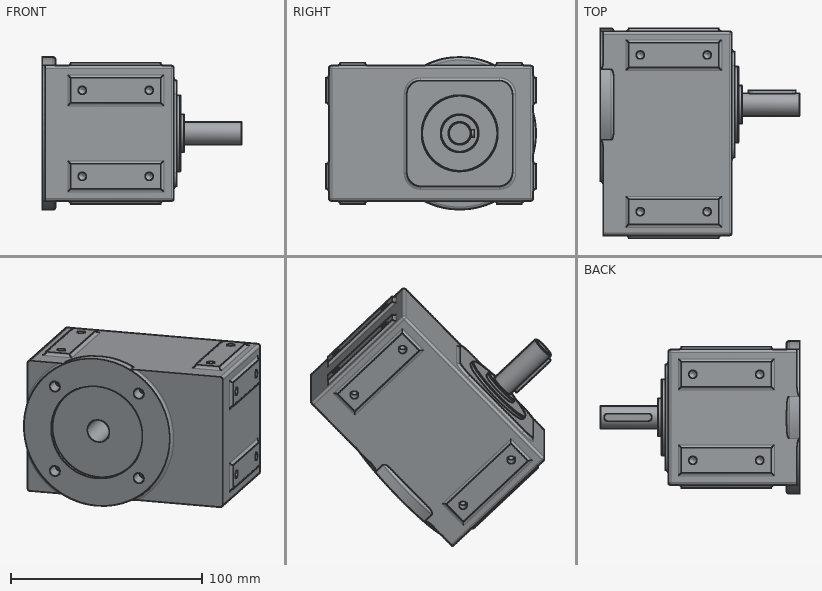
import cadquery as cq
import math


overall_x = 104.5
overall_y = 110
flange_diameter = 80.0
flange_radius = flange_diameter / 2

edge_radius = 1.5
pad_height = 1.5
body_start = 1.5
body_end = 69.0
body_length = body_end - body_start
body_width = overall_y - 2 * pad_height
body_height = 71.0
body_x = (body_start + body_end) / 2
body_y = flange_radius - overall_y / 2

flange_thickness = 7.0
register_diameter = 50.0
register_depth = 2.8
bore_diameter = 12.0
bore_depth = 30.0
bolt_circle = 65.0
bolt_diameter = 5.5
bolt_depth = 10.0

pad_length = 47.0
pad_width = 13.0
pad_x = 38.5
pad_pitch_y = 82.0
pad_pitch_z = 45.0
pad_hole_pitch = 35.0
pad_hole_diameter = 4.2
pad_hole_depth = 10.0
drill_point_angle = 118

boss_size = 55.2
boss_height = 1.5
boss_corner_radius = 7.0
cover_diameter = 40.0
collar_diameter = 20.0
step_height = 2.0
shaft_diameter = 12.0
rim_chamfer = 0.4

key_start = 77.4
key_length = 25.0
key_width = 4.0
key_height = 1.5


def x_cylinder(diameter, start, end):
    """Cylinder on the X axis between two X positions."""
    return cq.Workplane("YZ", origin=(start, 0, 0)).circle(diameter / 2).extrude(end - start)


def make_body():
    """Box with rounded edges, except around its flange-side face, with the square output boss."""
    body = (
        cq.Workplane("XY")
        .box(body_length, body_width, body_height)
        .translate((body_x, body_y, 0))
        .edges("|X or >X")
        .fillet(edge_radius)
    )
    rough_height = 3 * boss_height
    boss = (
        cq.Workplane("YZ", origin=(body_end, 0, 0))
        .rect(boss_size, boss_size)
        .extrude(rough_height)
        .edges("|X")
        .fillet(boss_corner_radius)
    )
    margin = boss_height / 2
    reach = boss_size / 2 + margin
    foot_edges = cq.selectors.BoxSelector(
        (body_end - margin, -reach, -reach),
        (body_end + margin, reach, reach),
        boundingbox=True,
    )
    trim = x_cylinder(2 * boss_size, body_end + boss_height, body_end + rough_height)
    return body.union(boss).edges(foot_edges).fillet(boss_height).cut(trim)


def make_flange():
    """Round flange with a rounded rear rim and a hollow fillet running onto the body face."""
    flange = x_cylinder(flange_diameter, 0, flange_thickness).edges(">X").fillet(edge_radius)
    arc_offset = body_start * (1 - math.sqrt(0.5))
    foot = (
        cq.Workplane("XY")
        .moveTo(0, 0)
        .lineTo(0, flange_radius)
        .threePointArc(
            (body_start - arc_offset, flange_radius + arc_offset),
            (body_start, flange_radius + body_start),
        )
        .lineTo(body_start, 0)
        .close()
        .revolve(360, (0, 0, 0), (1, 0, 0))
    )
    body_outline = (
        cq.Workplane("YZ")
        .center(body_y, 0)
        .rect(body_width, body_height)
        .extrude(body_start)
        .edges("|X")
        .fillet(edge_radius)
    )
    return flange.union(foot.intersect(body_outline))


def cut_flange(part):
    """Register recess, input bore and bolt holes."""
    part = part.cut(x_cylinder(register_diameter, 0, register_depth))
    part = part.cut(x_cylinder(bore_diameter, 0, register_depth + bore_depth))
    bolt_pitch = bolt_circle / math.sqrt(2)
    bolts = (
        cq.Workplane("YZ")
        .rect(bolt_pitch, bolt_pitch, forConstruction=True)
        .vertices()
        .circle(bolt_diameter / 2)
        .extrude(bolt_depth)
    )
    return part.cut(bolts)


def flared_prism(plane, width, depth):
    """Prism standing on Z = 0 whose two long sides flare out at the foot in a hollow arc."""
    half = width / 2
    arc_offset = pad_height * (1 - math.sqrt(0.5))
    return (
        cq.Workplane(plane)
        .moveTo(-half - pad_height, 0)
        .threePointArc((-half - arc_offset, arc_offset), (-half, pad_height))
        .lineTo(half, pad_height)
        .threePointArc((half + arc_offset, arc_offset), (half + pad_height, 0))
        .close()
        .extrude(depth, both=True)
    )


def make_pad():
    """Pad standing on Z = 0, long along X, with mitred corners at its flared foot."""
    return flared_prism("XZ", pad_length, pad_width).intersect(flared_prism("YZ", pad_width, pad_length))


def make_pad_holes():
    """Pair of blind drilled holes entering from the top of a pad."""
    radius = pad_hole_diameter / 2
    point_depth = radius / math.tan(math.radians(drill_point_angle / 2))
    drill = (
        cq.Workplane("XZ")
        .moveTo(0, pad_height)
        .lineTo(radius, pad_height)
        .lineTo(radius, pad_height - pad_hole_depth)
        .lineTo(0, pad_height - pad_hole_depth - point_depth)
        .close()
        .revolve(360, (0, 0, 0), (0, 1, 0))
    )
    half_pitch = pad_hole_pitch / 2
    return drill.translate((-half_pitch, 0, 0)).union(drill.translate((half_pitch, 0, 0)))


def place_on_faces(shape):
    """Copies of a pad-based shape at the eight pad positions, two on each long face."""
    copies = []
    for turn in (0, 90, 180, 270):
        on_side_face = turn in (90, 270)
        pitch = pad_pitch_z if on_side_face else pad_pitch_y
        face_distance = (body_width if on_side_face else body_height) / 2
        for side in (-1, 1):
            copies.append(
                shape.translate((0, side * pitch / 2, face_distance))
                .rotate((0, 0, 0), (1, 0, 0), turn)
                .translate((pad_x, body_y, 0))
            )
    return copies


def make_output():
    """Bearing cover, collar and shaft, each with a chamfered end."""
    cover_end = body_end + boss_height + step_height
    collar_end = cover_end + step_height
    output = x_cylinder(cover_diameter, body_end, cover_end).faces(">X").chamfer(rim_chamfer)
    for diameter, end in ((collar_diameter, collar_end), (shaft_diameter, overall_x)):
        output = output.union(x_cylinder(diameter, body_end, end).faces(">X").chamfer(rim_chamfer))
    return output


def make_key():
    """Round-ended key standing out of the +Y side of the shaft."""
    return (
        cq.Workplane("XZ")
        .center(key_start + key_length / 2, 0)
        .slot2D(key_length, key_width)
        .extrude(-(shaft_diameter / 2 + key_height))
    )


result = make_body().union(make_flange()).union(make_output()).union(make_key())
for pad in place_on_faces(make_pad()):
    result = result.union(pad)
for holes in place_on_faces(make_pad_holes()):
    result = result.cut(holes)
result = cut_flange(result)